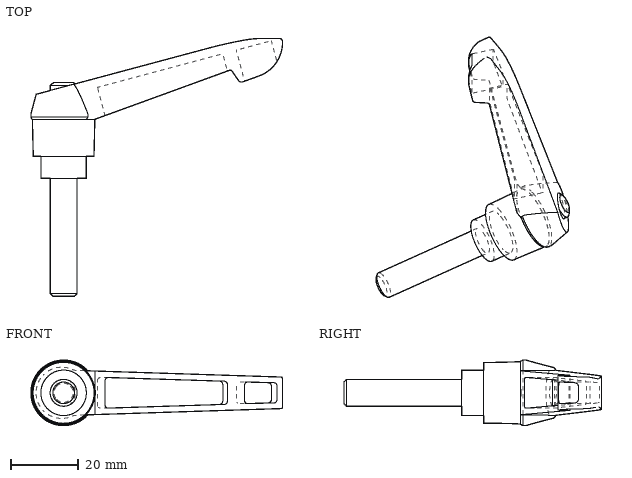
import cadquery as cq
import math


stud_diameter = 8.0
stud_length = 35.0
stud_chamfer = 0.8
sleeve_diameter = 13.5
sleeve_length = 6.5
cap_top = 28.5
cap_top_radius = 2.85
cap_shoulder_radius = 3.5
cap_shoulder_y = 28.05
cap_edge_y = 27.6

skirt_top = 17.5
skirt_bottom_radius = 9.05
skirt_top_radius = 9.3
collar_radius = 9.75
collar_base_radius = 9.4
collar_edge_height = 0.65
collar_top = 19.1
cone_angle = 15.0
cone_top = 30.0

arm_top_angle = 15.0
arm_under_angle = 20.0
arm_root_x = skirt_top_radius
arm_tip_x = 65.0
arm_tip_y = 41.55
top_line_at_axis = 27.15
blend_angle = 10.0
lower_blend_radius = 125.0
upper_blend_radius = 30.0
tip_corner_radius = 1.0
tip_nose_y = 40.4
notch_x = 49.7
hook_x = 52.35
hook_y = 28.3
notch_radius = 0.6
hook_radius = 1.1

root_half_width = 6.5
tip_half_width = 4.7
tip_edge_radius = 0.6

pocket_corner_radius = 1.0
pocket_side_wall = 1.8
pocket_cover = 2.75
main_pocket_start = 12.3
main_pocket_end = 48.6
tip_pocket_start = 53.7
tip_pocket_end = 63.3

top_slope = math.tan(math.radians(arm_top_angle))
under_slope = math.tan(math.radians(arm_under_angle))

notch_y = skirt_top + under_slope * (notch_x - arm_root_x)

hook_line_tip_y = hook_y + under_slope * (arm_tip_x - hook_x)
nose_tangent = tip_nose_y - hook_line_tip_y
nose_radius = nose_tangent / math.tan(math.radians((90 - arm_under_angle) / 2))
nose_start_x = arm_tip_x - nose_tangent * math.cos(math.radians(arm_under_angle))
nose_start_y = hook_line_tip_y - nose_tangent * math.sin(math.radians(arm_under_angle))


def arm_top_y(x):
    """Height of the sloping top line of the arm."""
    return top_line_at_axis + top_slope * x


def arm_half_width(x):
    """Half of the arm's width along Z at a distance x from the stud axis."""
    taper = (root_half_width - tip_half_width) / (arm_tip_x - arm_root_x)
    return root_half_width - taper * (x - arm_root_x)


def make_stud():
    """Stud with a chamfered end, running up through the hub to a twice-bevelled cap."""
    r = stud_diameter / 2
    profile = (
        cq.Workplane("XY")
        .moveTo(0, -stud_length)
        .lineTo(r - stud_chamfer, -stud_length)
        .lineTo(r, -stud_length + stud_chamfer)
        .lineTo(r, cap_edge_y)
        .lineTo(cap_shoulder_radius, cap_shoulder_y)
        .lineTo(cap_top_radius, cap_top)
        .lineTo(0, cap_top)
        .close()
    )
    return profile.revolve(360, (0, 0, 0), (0, 1, 0))


def make_hub():
    """Sleeve, skirt, collar and cone, with the cone cut along the slope of the arm's top."""
    cone_top_radius = collar_radius - (cone_top - collar_top) * math.tan(math.radians(cone_angle))
    sleeve_radius = sleeve_diameter / 2
    profile = (
        cq.Workplane("XY")
        .lineTo(sleeve_radius, 0)
        .lineTo(sleeve_radius, sleeve_length)
        .lineTo(skirt_bottom_radius, sleeve_length)
        .lineTo(skirt_top_radius, skirt_top)
        .lineTo(collar_base_radius, skirt_top)
        .lineTo(collar_radius, skirt_top + collar_edge_height)
        .lineTo(collar_radius, collar_top)
        .lineTo(cone_top_radius, cone_top)
        .lineTo(0, cone_top)
        .close()
    )
    hub = profile.revolve(360, (0, 0, 0), (0, 1, 0))
    reach = 2 * collar_radius
    above_slope = (
        cq.Workplane("XY")
        .polyline([(-reach, arm_top_y(-reach)), (reach, arm_top_y(reach)), (-reach, 2 * cone_top)])
        .close()
        .extrude(reach, both=True)
    )
    return hub.cut(above_slope)


def make_arm():
    """Arm with a hooked tip: its side profile trimmed to the tapering width."""
    slope_angle = math.radians(arm_top_angle)
    middle_angle = math.radians(blend_angle)
    blend_middle_y = arm_tip_y - upper_blend_radius * (1 - math.cos(middle_angle))
    blend_start_y = blend_middle_y - lower_blend_radius * (math.cos(middle_angle) - math.cos(slope_angle))
    blend_start_x = (blend_start_y - top_line_at_axis) / top_slope
    blend_middle_x = blend_start_x + lower_blend_radius * (math.sin(slope_angle) - math.sin(middle_angle))
    blend_end_x = blend_middle_x + upper_blend_radius * math.sin(middle_angle)

    profile = (
        cq.Workplane("XY")
        .moveTo(0, skirt_top)
        .lineTo(arm_root_x, skirt_top)
        .lineTo(notch_x, notch_y)
        .lineTo(hook_x, hook_y)
        .lineTo(nose_start_x, nose_start_y)
        .tangentArcPoint((arm_tip_x, tip_nose_y), relative=False)
        .lineTo(arm_tip_x, arm_tip_y)
        .lineTo(blend_end_x, arm_tip_y)
        .tangentArcPoint((blend_middle_x, blend_middle_y), relative=False)
        .tangentArcPoint((blend_start_x, blend_start_y), relative=False)
        .lineTo(0, arm_top_y(0))
        .close()
    )
    arm = profile.extrude(2 * root_half_width, both=True)
    rounded_corners = [
        (notch_x, notch_y, notch_radius),
        (hook_x, hook_y, hook_radius),
        (arm_tip_x, arm_tip_y, tip_corner_radius),
    ]
    for x, y, radius in rounded_corners:
        arm = arm.edges(cq.selectors.NearestToPointSelector((x, y, 0))).fillet(radius)

    plan = (
        cq.Workplane("XZ")
        .polyline([
            (0, -arm_half_width(0)),
            (arm_tip_x, -tip_half_width),
            (arm_tip_x, tip_half_width),
            (0, arm_half_width(0)),
        ])
        .close()
        .extrude(-2 * arm_tip_y)
        .edges("|Y and >X")
        .fillet(tip_edge_radius)
    )
    return arm.intersect(plan)


def nose_y(x):
    """Height at x of the arc that rounds the nose of the hook."""
    return tip_nose_y - math.sqrt(nose_radius**2 - (x - (arm_tip_x - nose_radius)) ** 2)


def make_pocket(start_x, start_y, end_x, end_y):
    """Tapered cutter sunk square to the sloping top, its floor parallel to that top.

    The start and end points are where the pocket's end walls meet the underside.
    """
    angle = math.radians(arm_top_angle)
    along = cq.Vector(math.cos(angle), math.sin(angle), 0)
    upward = cq.Vector(-math.sin(angle), math.cos(angle), 0)
    floor_origin = cq.Vector(0, arm_top_y(0), 0) - upward * pocket_cover
    start = (cq.Vector(start_x, start_y, 0) - floor_origin).dot(along)
    end = (cq.Vector(end_x, end_y, 0) - floor_origin).dot(along)
    start_half = arm_half_width(start_x) - pocket_side_wall
    end_half = arm_half_width(end_x) - pocket_side_wall
    floor = cq.Plane(origin=floor_origin.toTuple(), xDir=along.toTuple(), normal=(-upward).toTuple())
    return (
        cq.Workplane(floor)
        .polyline([(start, -start_half), (end, -end_half), (end, end_half), (start, start_half)])
        .close()
        .extrude(arm_tip_y)
        .edges(cq.selectors.ParallelDirSelector(upward))
        .fillet(pocket_corner_radius)
    )


def make_main_pocket():
    """Long pocket between the hub and the notch."""
    start_y = skirt_top + under_slope * (main_pocket_start - arm_root_x)
    end_y = skirt_top + under_slope * (main_pocket_end - arm_root_x)
    return make_pocket(main_pocket_start, start_y, main_pocket_end, end_y)


def make_tip_pocket():
    """Short pocket in the underside of the hook, ending on the nose arc."""
    start_y = hook_y + under_slope * (tip_pocket_start - hook_x)
    return make_pocket(tip_pocket_start, start_y, tip_pocket_end, nose_y(tip_pocket_end))


arm = make_arm().cut(make_main_pocket()).cut(make_tip_pocket())
result = make_hub().union(make_stud()).union(arm)